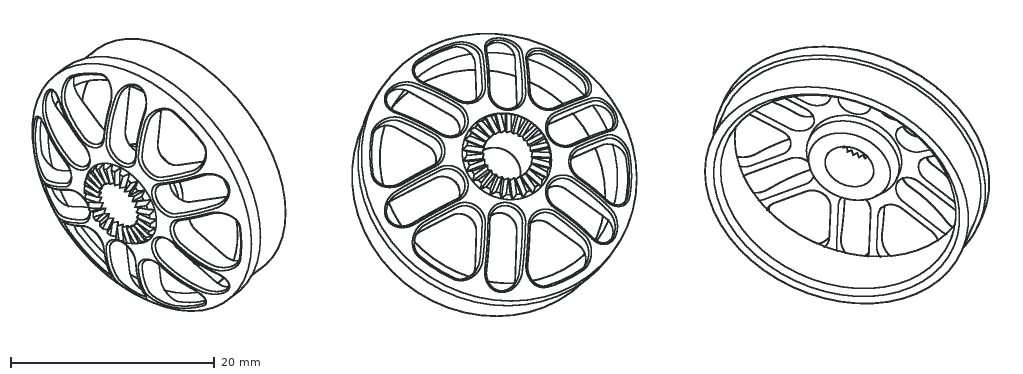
import cadquery as cq
import math

RIM_RADIUS = 13.95
BARREL_RADIUS = 13.48
BARREL_LENGTH = 4.5
RIM_END = 5.9
HUB_FACE = 9.12
TOTAL_DEPTH = 9.7
FLAT_RADIUS = 6.42

CAVITY_RADIUS = 12.02
SEAT_DEPTH = 5.72
REAR_CHAMFER = 0.55
WEB_BACK_AT_HUB = 6.72
HUB_RADIUS = 4.75
HUB_REAR_RADIUS = 4.18
HUB_TAPER_START = 5.83
HUB_REAR = 4.6
BORE_RADIUS = 2.48

WINDOW_COUNT = 6
SLOT_HALF_WIDTH = 1.65
SLOT_INNER = 5.08
SLOT_OUTER = 13.1
FAN_OUTER = 13.05
FAN_SIDE_OFFSET = 2.43
FAN_CORNER_RADIUS = 1.67
WINDOW_CHAMFER = 0.25

TOOTH_COUNT = 25
TOOTH_BASE_RADIUS = 4.52
TOOTH_TIP_RADIUS = 4.2
GROOVE_WIDTH = 0.65
GROOVE_BOTTOM = 9.15

TOLERANCE = 0.003


def dome_depth(radius):
    """Depth of the domed front, an arc tangent to the flat hub face."""
    drop = RIM_RADIUS - FLAT_RADIUS
    height = HUB_FACE - RIM_END
    arc_radius = (drop**2 + height**2) / (2 * height)
    return HUB_FACE - arc_radius + math.sqrt(arc_radius**2 - (radius - FLAT_RADIUS) ** 2)


def revolve_about_y(profile):
    return profile.close().revolve(360, (0, 0, 0), (0, 1, 0))


def turned_copies(shape, count):
    return [shape.rotate((0, 0, 0), (0, 1, 0), index * 360 / count) for index in range(count)]


def make_body():
    middle = (RIM_RADIUS + FLAT_RADIUS) / 2
    profile = (
        cq.Workplane("XY")
        .moveTo(BORE_RADIUS, -HUB_REAR)
        .lineTo(HUB_REAR_RADIUS, -HUB_REAR)
        .lineTo(HUB_RADIUS, -HUB_TAPER_START)
        .lineTo(HUB_RADIUS, -WEB_BACK_AT_HUB)
        .lineTo(CAVITY_RADIUS, -SEAT_DEPTH)
        .lineTo(CAVITY_RADIUS, -REAR_CHAMFER)
        .lineTo(CAVITY_RADIUS + REAR_CHAMFER, 0)
        .lineTo(BARREL_RADIUS, 0)
        .lineTo(BARREL_RADIUS, -BARREL_LENGTH)
        .lineTo(RIM_RADIUS, -BARREL_LENGTH)
        .lineTo(RIM_RADIUS, -RIM_END)
        .threePointArc((middle, -dome_depth(middle)), (FLAT_RADIUS, -HUB_FACE))
        .lineTo(BORE_RADIUS, -HUB_FACE)
    )
    return revolve_about_y(profile)


def make_slot():
    """Straight round-ended window, midway between two fan windows."""
    return (
        cq.Workplane("XZ", origin=(0, -SEAT_DEPTH, 0))
        .center((SLOT_OUTER + SLOT_INNER) / 2, 0)
        .slot2D(SLOT_OUTER - SLOT_INNER, 2 * SLOT_HALF_WIDTH)
        .extrude(TOTAL_DEPTH - SEAT_DEPTH)
        .rotate((0, 0, 0), (0, 1, 0), 180 / WINDOW_COUNT)
    )


def make_fan():
    """Rounded sector window whose sides run parallel to the neighbouring slots."""
    half_angle = math.pi / WINDOW_COUNT
    apex = FAN_SIDE_OFFSET / math.sin(half_angle)
    along = math.sqrt(FAN_OUTER**2 - FAN_SIDE_OFFSET**2)
    corner_x = along * math.cos(half_angle) + FAN_SIDE_OFFSET * math.sin(half_angle)
    corner_z = along * math.sin(half_angle) - FAN_SIDE_OFFSET * math.cos(half_angle)
    return (
        cq.Workplane("XZ", origin=(0, -SEAT_DEPTH, 0))
        .moveTo(apex, 0)
        .lineTo(corner_x, corner_z)
        .threePointArc((FAN_OUTER, 0), (corner_x, -corner_z))
        .close()
        .extrude(TOTAL_DEPTH - SEAT_DEPTH)
        .edges("|Y")
        .fillet(FAN_CORNER_RADIUS)
    )


def cut_windows(body):
    for window in (make_slot(), make_fan()):
        for cutter in turned_copies(window, WINDOW_COUNT):
            body = body.cut(cutter)
    return body


def axial_radius(point):
    return math.hypot(point.x, point.z)


def is_window_edge(edge):
    """True unless the edge is the flat's border, the bore or touches the rim."""
    if abs(axial_radius(edge.positionAt(0.5)) - FLAT_RADIUS) < TOLERANCE:
        return False
    ends = (axial_radius(edge.startPoint()), axial_radius(edge.endPoint()))
    return min(ends) > BORE_RADIUS + TOLERANCE and max(ends) < RIM_RADIUS - TOLERANCE


def chamfer_windows(body):
    reach = RIM_RADIUS + 2.8
    front_zone = cq.selectors.BoxSelector(
        (-reach, -HUB_FACE - 0.03, -reach),
        (reach, -RIM_END + 0.03, reach),
        boundingbox=True,
    )
    hub_edges = body.faces("<Y").edges().vals()
    dome_faces = body.faces(front_zone).faces("not(#Y or |Y)").faces("not %CYLINDER")
    dome_edges = dome_faces.edges().vals()
    edges = [edge for edge in hub_edges + dome_edges if is_window_edge(edge)]
    return body.newObject(edges).chamfer(WINDOW_CHAMFER)


def add_teeth(body):
    """Conical ring split into flat-topped teeth by radial V grooves."""
    ring = revolve_about_y(
        cq.Workplane("XY")
        .moveTo(BORE_RADIUS, -HUB_FACE)
        .lineTo(TOOTH_BASE_RADIUS, -HUB_FACE)
        .lineTo(TOOTH_TIP_RADIUS, -TOTAL_DEPTH)
        .lineTo(BORE_RADIUS, -TOTAL_DEPTH)
    )
    groove = (
        cq.Workplane("XY")
        .moveTo(0, -GROOVE_BOTTOM)
        .lineTo(-GROOVE_WIDTH / 2, -TOTAL_DEPTH)
        .lineTo(GROOVE_WIDTH / 2, -TOTAL_DEPTH)
        .close()
        .extrude(TOOTH_BASE_RADIUS)
    )
    for cutter in turned_copies(groove, TOOTH_COUNT):
        ring = ring.cut(cutter)
    return body.union(ring)


result = add_teeth(chamfer_windows(cut_windows(make_body())))